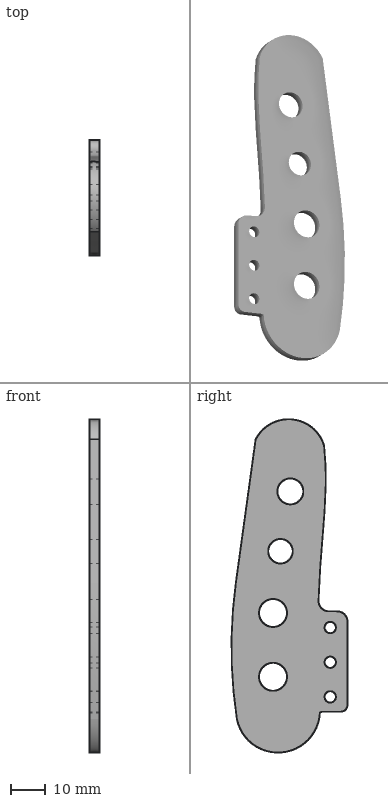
import cadquery as cq
import math

thickness = 3.0
height = 96.19
width = 33.52

tab_edge_y = 5.0
tab_top_z = 14.7
tab_bottom_z = -14.3
tab_top_radius = 3.0
tab_bottom_radius = 2.0
tab_root_radius = 3.0
mount_hole_diameter = 3.2
mount_hole_pitch = 10.0
mount_hole_count = 3

body_top_z = 70.1
body_bottom_z = body_top_z - height
belly_y = tab_edge_y - width
top_arc_crest = (-11.7, body_top_z)
top_arc_left = (-1.75, 62.5)
top_arc_right = (-21.55, 64.25)
belly_top = (-27.25, 22.9)
belly_middle = (belly_y, 3.2)
belly_bottom = (-26.95, -16.4)
bottom_arc_crest = (-15.1, body_bottom_z)
bottom_arc_left = (-2.95, -14.6)
tab_bottom_inner_y = -2.55
tab_root_y = -3.35
tab_root_top = (tab_root_y, tab_top_z + tab_root_radius)
back_edge_points = [(-3.15, 22.5), (-2.2, 35.9), (-1.25, 52.5)]

lightening_holes = [
    (-11.5, 49.25, 7.42),
    (-14.35, 32.0, 7.0),
    (-16.5, 14.2, 8.0),
    (-16.5, -4.2, 8.0),
]


def make_plate():
    """Extrude the outline, symmetric about X = 0."""
    root_offset = tab_root_radius * math.cos(math.radians(45))
    root_center = (tab_root_y + tab_root_radius, tab_top_z + tab_root_radius)
    root_middle = (root_center[0] - root_offset, root_center[1] - root_offset)
    corner_top = (tab_edge_y - tab_top_radius, tab_top_z)
    outline = (
        cq.Workplane("YZ", origin=(-thickness / 2, 0, 0))
        .moveTo(*top_arc_left)
        .threePointArc(top_arc_crest, top_arc_right)
        .lineTo(*belly_top)
        .threePointArc(belly_middle, belly_bottom)
        .threePointArc(bottom_arc_crest, bottom_arc_left)
        .lineTo(tab_bottom_inner_y, tab_bottom_z)
        .lineTo(tab_edge_y - tab_bottom_radius, tab_bottom_z)
        .radiusArc((tab_edge_y, tab_bottom_z + tab_bottom_radius), -tab_bottom_radius)
        .lineTo(tab_edge_y, tab_top_z - tab_top_radius)
        .radiusArc(corner_top, -tab_top_radius)
        .lineTo(root_center[0], tab_top_z)
        .threePointArc(root_middle, tab_root_top)
        .spline(back_edge_points + [top_arc_left], includeCurrent=True)
        .close()
    )
    return outline.extrude(thickness)


def cut_hole(plate, y, z, diameter):
    """Cut a round hole through the full thickness of the plate."""
    cutter = cq.Workplane("YZ", origin=(-thickness / 2, y, z)).circle(diameter / 2).extrude(thickness)
    return plate.cut(cutter)


result = make_plate()
for y, z, diameter in lightening_holes:
    result = cut_hole(result, y, z, diameter)
for index in range(mount_hole_count):
    z = (index - (mount_hole_count - 1) / 2) * mount_hole_pitch
    result = cut_hole(result, 0, z, mount_hole_diameter)